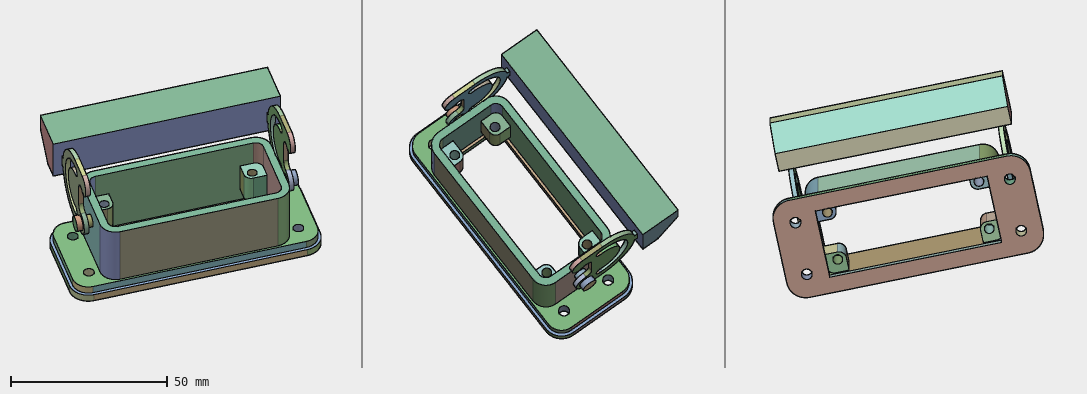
import cadquery as cq
import math

flange_length = 84.0
overall_width = 51.0
flange_width = 33.0
flange_radius = 6.3
step_inset = 1.0
step_height = 2.7
base_height = 2 * step_height
body_length = 63.25
body_width = 29.6
body_radius = 5.2
body_top = 26.3
wall = 2.6
cavity_length = body_length - 2 * wall
cavity_width = body_width - 2 * wall
cavity_radius = body_radius - wall
window_lip = 0.9
flange_hole_diameter = 3.45
flange_hole_spacing_x = 17.55
flange_hole_spacing_y = 70.1

post_width = 6.6
post_length = 7.05
post_radius = 2.4
post_top = 17.4
post_bottom = 7.2
post_hole_diameter = 3.1
post_hole_spacing_x = 16.05
post_hole_spacing_y = 49.6

arm_inner_y = 33.5
arm_thickness = 1.6
arm_outer_y = arm_inner_y + arm_thickness
arm_top = 41.25
pivot_z = 19.3
lobe_radius = 3.95
arm_bottom = pivot_z - lobe_radius
arc_radius = (arm_top - arm_bottom) / 2
arc_x = -6.55
arc_z = (arm_top + arm_bottom) / 2
notch_radius = 2.2
notch_z = 32.9
hook_radius = 3.95
hook_x = 1.5
hook_z = arm_top - hook_radius
hook_tip_z = 34.0
slot_mid_radius = 8.5
slot_width = 3.1
slot_end_x = -5.55
tab_height = 4.0
tab_overlap = 1.7

pin_head_diameter = 5.1
pin_neck_diameter = 4.2
pin_head_end_y = 37.05

bar_left = flange_width / 2 - overall_width
bar_width = 14.1
bar_right = bar_left + bar_width
bar_length = 76.1
bar_top = 36.3
bar_bottom = 22.2
bar_chamfer = 8.1


def rounded_block(width, length, radius, bottom, top):
    block = cq.Workplane("XY").workplane(offset=bottom).rect(width, length).extrude(top - bottom)
    return block.edges("|Z").fillet(radius)


def hole_pattern(spacing_x, spacing_y, diameter, bottom, top):
    """Four upright cylinders at the corners of a rectangle."""
    plane = cq.Workplane("XY").workplane(offset=bottom)
    corners = plane.rect(spacing_x, spacing_y, forConstruction=True).vertices()
    return corners.circle(diameter / 2).extrude(top - bottom)


def cavity_block(bottom, top):
    return rounded_block(cavity_width, cavity_length, cavity_radius, bottom, top)


def corner_posts():
    """Four posts that fill the cavity corners, each with one rounded inner edge."""
    block = rounded_block(2 * post_width, 2 * post_length, post_radius, post_bottom, post_top)
    blocks = cq.Workplane("XY")
    for x in (-cavity_width / 2, cavity_width / 2):
        for y in (-cavity_length / 2, cavity_length / 2):
            blocks = blocks.add(block.translate((x, y, 0)))
    posts = cavity_block(post_bottom, post_top).intersect(blocks.combine())
    holes = hole_pattern(
        post_hole_spacing_x, post_hole_spacing_y, post_hole_diameter, post_bottom, post_top
    )
    return posts.cut(holes)


def housing():
    flange = rounded_block(flange_width, flange_length, flange_radius, 0, step_height)
    step = rounded_block(
        flange_width - 2 * step_inset,
        flange_length - 2 * step_inset,
        flange_radius - step_inset,
        step_height,
        base_height,
    )
    body = rounded_block(body_width, body_length, body_radius, base_height, body_top)
    solid = flange.union(step).union(body)
    solid = solid.cut(cavity_block(step_height, body_top))
    window = cq.Workplane("XY").rect(
        cavity_width - 2 * window_lip, cavity_length - 2 * window_lip
    )
    solid = solid.cut(window.extrude(step_height))
    solid = solid.cut(
        hole_pattern(
            flange_hole_spacing_x, flange_hole_spacing_y, flange_hole_diameter, 0, base_height
        )
    )
    return solid.union(corner_posts())


def arm_plane():
    """XZ plane on the inner face of the -Y arm; extrusions grow outwards, towards -Y."""
    return cq.Workplane("XZ", origin=(0, -arm_inner_y, 0))


def arm_outline():
    """C-shaped arm: round back, pivot lobe at the bottom, hook at the top."""
    diagonal = math.sqrt(0.5)
    tip_notch_x = math.sqrt(notch_radius**2 - (hook_tip_z - notch_z) ** 2)
    tip_hook_x = hook_x + math.sqrt(hook_radius**2 - (hook_z - hook_tip_z) ** 2)
    fillet_z = pivot_z + lobe_radius + notch_radius
    return (
        arm_plane()
        .moveTo(hook_x, arm_top)
        .lineTo(arc_x, arm_top)
        .threePointArc((arc_x - arc_radius, arc_z), (arc_x, arm_bottom))
        .lineTo(0, arm_bottom)
        .threePointArc((lobe_radius, pivot_z), (0, pivot_z + lobe_radius))
        .threePointArc(
            (-notch_radius * diagonal, fillet_z - notch_radius * diagonal),
            (-notch_radius, fillet_z),
        )
        .lineTo(-notch_radius, notch_z)
        .threePointArc((0, notch_z + notch_radius), (tip_notch_x, hook_tip_z))
        .lineTo(tip_hook_x, hook_tip_z)
        .threePointArc((hook_x + hook_radius, hook_z), (hook_x, arm_top))
        .close()
        .extrude(arm_thickness)
    )


def arm_slot():
    """C-shaped slot that follows the round back and ends in short straight runs."""
    half_width = slot_width / 2
    outer = slot_mid_radius + half_width
    inner = slot_mid_radius - half_width
    return (
        arm_plane()
        .moveTo(slot_end_x, arc_z + outer)
        .lineTo(arc_x, arc_z + outer)
        .threePointArc((arc_x - outer, arc_z), (arc_x, arc_z - outer))
        .lineTo(slot_end_x, arc_z - outer)
        .threePointArc((slot_end_x + half_width, arc_z - slot_mid_radius), (slot_end_x, arc_z - inner))
        .lineTo(arc_x, arc_z - inner)
        .threePointArc((arc_x - inner, arc_z), (arc_x, arc_z + inner))
        .lineTo(slot_end_x, arc_z + inner)
        .threePointArc((slot_end_x + half_width, arc_z + slot_mid_radius), (slot_end_x, arc_z + outer))
        .close()
        .extrude(arm_thickness)
    )


def arm_tab():
    """Short tab that ties the round back of the arm to the handle bar."""
    back_x = arc_x - arc_radius + tab_overlap
    middle_x = (bar_right + back_x) / 2
    tab = arm_plane().center(middle_x, arc_z).rect(back_x - bar_right, tab_height)
    return tab.extrude(arm_thickness)


def pivot_pin():
    """Neck from the body wall through the arm, with a wider head outside it."""
    neck_start = body_length / 2
    neck_length = arm_outer_y - neck_start
    head_length = pin_head_end_y - arm_outer_y
    neck = cq.Workplane("XZ", origin=(0, -neck_start, pivot_z)).circle(pin_neck_diameter / 2)
    head = cq.Workplane("XZ", origin=(0, -arm_outer_y, pivot_z)).circle(pin_head_diameter / 2)
    return neck.extrude(neck_length).union(head.extrude(head_length))


def handle_bar():
    bar = cq.Workplane("XY").box(
        bar_width, bar_length, bar_top - bar_bottom, centered=(False, True, False)
    )
    bar = bar.translate((bar_left, 0, bar_bottom))
    return bar.edges("<X and <Z").chamfer(bar_chamfer)


arm = arm_outline().cut(arm_slot()).union(arm_tab()).union(pivot_pin())
result = housing().union(handle_bar()).union(arm).union(arm.mirror("XZ"))